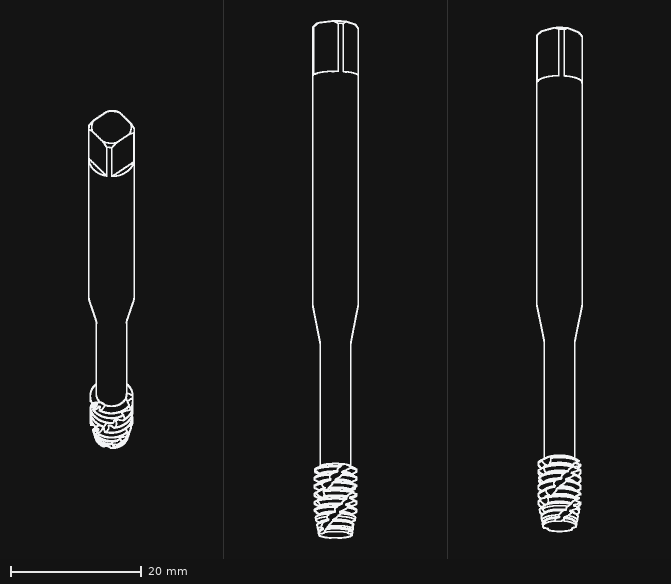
import cadquery as cq
import math

total_length = 80.0

shank_diameter = 7.0
square_width = 5.5
square_length = 8.0
square_tip_chamfer = 0.5

neck_diameter = 4.7
shoulder_top_z = 36.0
shoulder_bottom_z = 30.0

head_length = 10.7
crest_diameter = 6.6
root_diameter = 4.7
tooth_spacings = 8.5
tooth_pitch = head_length / tooth_spacings
crest_flat = tooth_pitch / 8
root_flat = tooth_pitch / 8
lead_in_length = 3.8
lead_in_diameter = 5.1

flute_count = 3
flute_lead = 17.6
flute_radius = 0.9
flute_center_radius = 3.1
flute_front_z = 4.2


def revolve_about_z(profile):
    """Full revolution of a closed (radius, z) outline about the Z axis."""
    return cq.Workplane("XZ").polyline(profile).close().revolve(360, (0, 0), (0, 1))


def make_shank():
    """Turned shank, shoulder and neck, with four flats milled at the top."""
    shank_radius = shank_diameter / 2
    neck_radius = neck_diameter / 2
    tip_radius = shank_radius - square_tip_chamfer
    profile = [
        (0, head_length),
        (neck_radius, head_length),
        (neck_radius, shoulder_bottom_z),
        (shank_radius, shoulder_top_z),
        (shank_radius, total_length - square_tip_chamfer),
        (tip_radius, total_length),
        (0, total_length),
    ]
    blank = revolve_about_z(profile)
    flats = (
        cq.Workplane("XY")
        .workplane(offset=total_length - square_length)
        .circle(shank_diameter)
        .rect(square_width, square_width)
        .extrude(square_length)
    )
    return blank.cut(flats)


def make_threaded_blank():
    """Ring-shaped teeth on a round core, starting with half a tooth at the bottom."""
    crest_radius = crest_diameter / 2
    root_radius = root_diameter / 2
    profile = [(0, 0), (crest_radius, 0)]
    for index in range(math.ceil(tooth_spacings)):
        crest_z = index * tooth_pitch
        root_z = crest_z + tooth_pitch / 2
        profile.append((crest_radius, crest_z + crest_flat / 2))
        profile.append((root_radius, root_z - root_flat / 2))
        if root_z < head_length - root_flat / 2:
            profile.append((root_radius, root_z + root_flat / 2))
            profile.append((crest_radius, crest_z + tooth_pitch - crest_flat / 2))
    profile.append((root_radius, head_length))
    profile.append((0, head_length))
    return revolve_about_z(profile)


def make_lead_in_envelope():
    """Round envelope that tapers the lowest teeth."""
    crest_radius = crest_diameter / 2
    profile = [
        (0, 0),
        (lead_in_diameter / 2, 0),
        (crest_radius, lead_in_length),
        (crest_radius, head_length),
        (0, head_length),
    ]
    return revolve_about_z(profile)


def make_flute(index):
    """Right-hand helical groove cutter along the whole head."""
    start_angle = -90 - 360 * flute_front_z / flute_lead + index * 360 / flute_count
    twist = 360 * head_length / flute_lead
    return (
        cq.Workplane("XY")
        .center(flute_center_radius, 0)
        .circle(flute_radius)
        .center(-flute_center_radius, 0)
        .twistExtrude(head_length, twist)
        .rotate((0, 0, 0), (0, 0, 1), start_angle)
    )


def make_head():
    """Tapered thread with helical flutes."""
    head = make_threaded_blank().intersect(make_lead_in_envelope())
    for index in range(flute_count):
        head = head.cut(make_flute(index))
    return head


shank = make_shank()
threaded_head = make_head()

result = cq.Compound.makeCompound([shank.val(), threaded_head.val()])